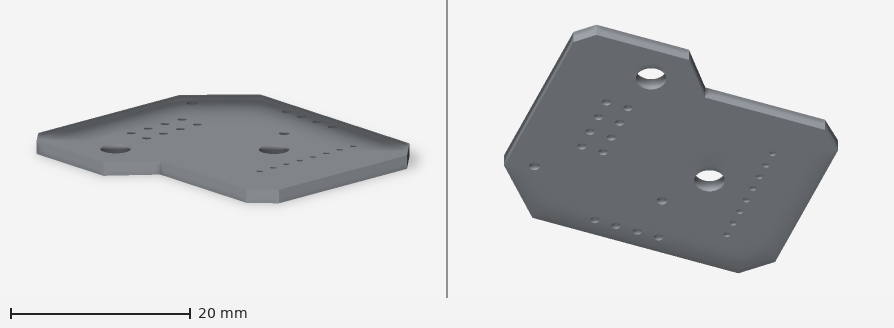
import cadquery as cq

BOARD_LENGTH = 33.75
BOARD_WIDTH = 30.0
BOARD_THICKNESS = 1.58

TOP_LEFT_CUT = (6.0, 6.7)
TOP_RIGHT_CUT = (3.15, 3.2)
LOWER_RIGHT_CUT = (2.55, 2.55)
BOTTOM_LEFT_CUT = (1.95, 2.0)

STEP_HEIGHT = 5.0
STEP_START_X = 13.0
STEP_END_X = 16.9

PIN_PITCH = 2.54
PIN_DIAMETER = 1.0
TOP_ROW_PINS = 4
TOP_ROW_START = (12.61, 27.82)
PIN_BLOCK_COLUMNS = 2
PIN_BLOCK_ROWS = 4
PIN_BLOCK_START = (6.95, 9.68)

FINE_PITCH = 2.0
FINE_DIAMETER = 0.75
FINE_COUNT = 8
FINE_COLUMN_START = (27.15, 10.69)

LOCATING_DIAMETER = 1.2
LOCATING_START = (3.22, 22.2)
LOCATING_SPACING = 15.24

SCREW_DIAMETER = 3.4
SCREW_CENTERS = [(10.19, 4.38), (22.2, 17.3)]


def make_board():
    """Flat plate with cut corners and a stepped lower edge."""
    outline = [
        (BOTTOM_LEFT_CUT[0], 0),
        (STEP_START_X, 0),
        (STEP_END_X, STEP_HEIGHT),
        (BOARD_LENGTH - LOWER_RIGHT_CUT[0], STEP_HEIGHT),
        (BOARD_LENGTH, STEP_HEIGHT + LOWER_RIGHT_CUT[1]),
        (BOARD_LENGTH, BOARD_WIDTH - TOP_RIGHT_CUT[1]),
        (BOARD_LENGTH - TOP_RIGHT_CUT[0], BOARD_WIDTH),
        (TOP_LEFT_CUT[0], BOARD_WIDTH),
        (0, BOARD_WIDTH - TOP_LEFT_CUT[1]),
        (0, BOTTOM_LEFT_CUT[1]),
    ]
    return cq.Workplane("XY").polyline(outline).close().extrude(BOARD_THICKNESS)


def grid(start, columns, rows, pitch):
    """Hole centers of a rectangular grid growing along +X and +Y from its first hole."""
    return [
        (start[0] + column * pitch, start[1] + row * pitch)
        for column in range(columns)
        for row in range(rows)
    ]


def drill(board, centers, diameter):
    """Drill plain holes through the full thickness."""
    drills = (
        cq.Workplane("XY")
        .pushPoints(centers)
        .circle(diameter / 2)
        .extrude(BOARD_THICKNESS)
    )
    return board.cut(drills)


board = make_board()
board = drill(board, grid(TOP_ROW_START, TOP_ROW_PINS, 1, PIN_PITCH), PIN_DIAMETER)
board = drill(
    board,
    grid(PIN_BLOCK_START, PIN_BLOCK_COLUMNS, PIN_BLOCK_ROWS, PIN_PITCH),
    PIN_DIAMETER,
)
board = drill(board, grid(FINE_COLUMN_START, 1, FINE_COUNT, FINE_PITCH), FINE_DIAMETER)
board = drill(board, grid(LOCATING_START, 2, 1, LOCATING_SPACING), LOCATING_DIAMETER)
board = drill(board, SCREW_CENTERS, SCREW_DIAMETER)

result = board